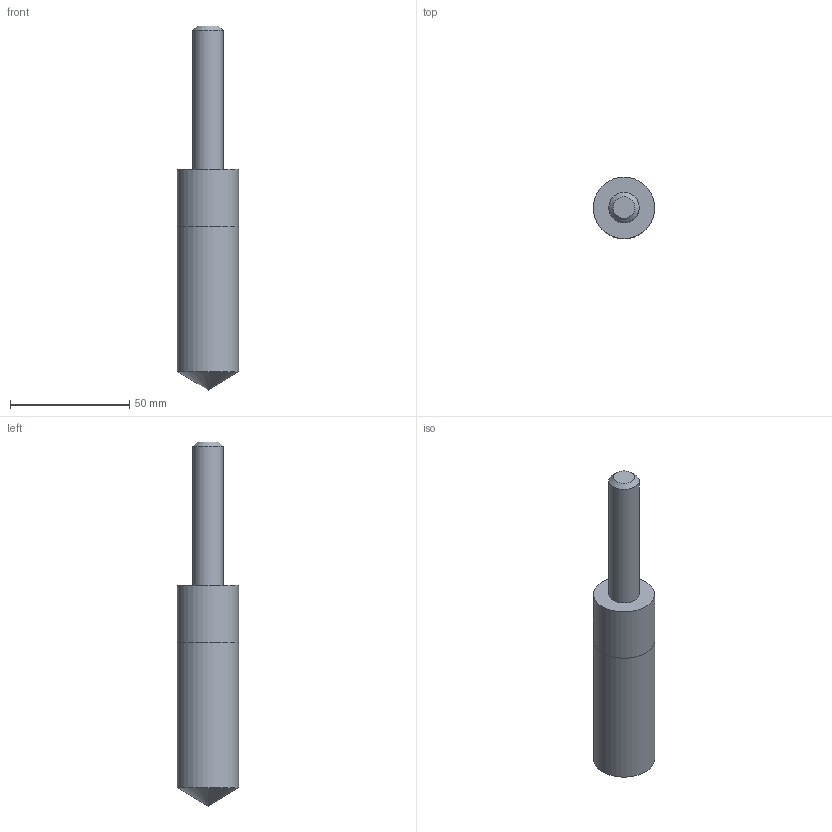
import cadquery as cq
import math

total_length = 152.4
body_diameter = 25.7
shank_diameter = 12.7

shank_length = 60
collar_length = 23.8
point_angle = 118.0

chamfer_size = 1.8

body_radius = body_diameter / 2
point_height = body_radius / math.tan(math.radians(point_angle / 2))
shoulder_z = total_length - shank_length
joint_z = shoulder_z - collar_length


def make_drill_body():
    """Solid cylinder from the joint down to a conical point."""
    half_profile = (
        cq.Workplane("XZ")
        .moveTo(0, 0)
        .lineTo(body_radius, point_height)
        .lineTo(body_radius, joint_z)
        .lineTo(0, joint_z)
        .close()
    )
    return half_profile.revolve(360, (0, 0, 0), (0, 1, 0))


def make_shank():
    """Collar flush with the drill body, carrying the thinner chamfered shank."""
    collar = cq.Workplane("XY").workplane(offset=joint_z).circle(body_radius).extrude(collar_length)
    shank = (
        cq.Workplane("XY")
        .workplane(offset=shoulder_z)
        .circle(shank_diameter / 2)
        .extrude(shank_length)
        .faces(">Z")
        .chamfer(chamfer_size)
    )
    return collar.union(shank)


drill_body = make_drill_body()
shank = make_shank()

result = cq.Compound.makeCompound([drill_body.val(), shank.val()])